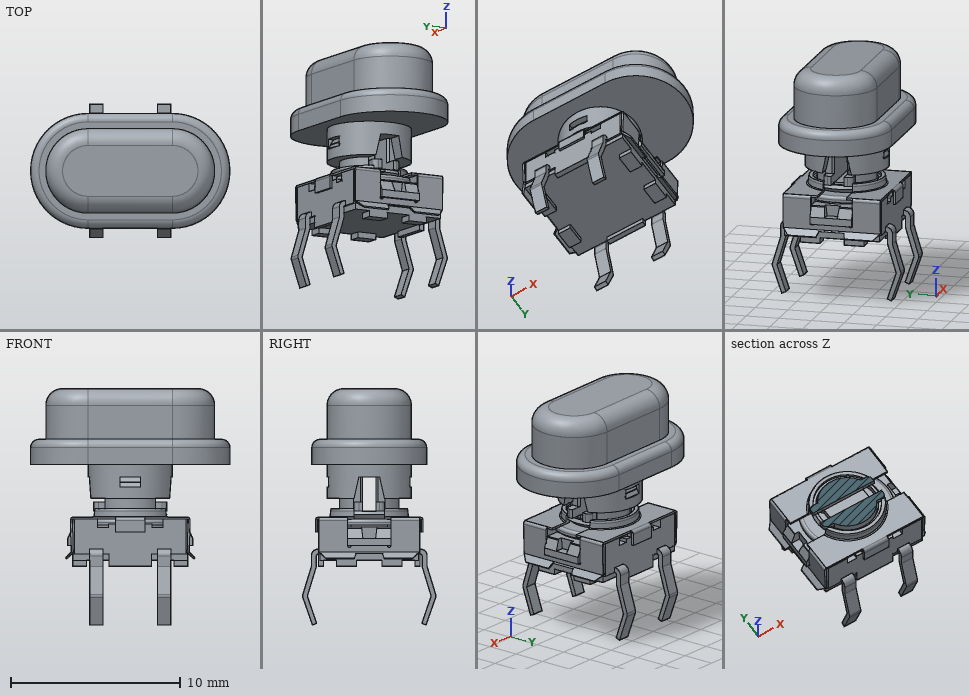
import cadquery as cq

HEIGHT = 14.0
BIG = 28.0

CAP_STRAIGHT = 5.0
CAP_W = 5.0
CAP_ROUND = 1.0
FLANGE_W = 6.8
FLANGE_H = 1.5
FLANGE_ROUND = 0.5
CAP_BOTTOM = 9.5

HUB_D = 5.0
HUB_BOTTOM = 7.5
SLOT_TOP = 8.76
SLOT_TOP_W = 1.23
NOTCH_W = 1.79
WINDOW_W = 1.23
WINDOW_H = 0.59
WINDOW_DEPTH = 0.42
HOOK_LIP = 0.04
HOOK_SILL = 0.08

PLUNGER_D = 3.53
PLUNGER_X = 3.0
PLUNGER_SLOT = 0.78
SLOT_CHAMFER = 0.13
POST_X = 4.33
POST_TOP = 7.3
POST_ROUND = 0.28

COVER_TOP = 6.4
COVER_X = 7.1
COVER_Y = 5.96
SHEET = 0.13
BEND_R = 0.2
WALL_LEAN = 0.05
SKIRT_TOP = 4.34
SKIRT_GAP_TOP = 4.25
SKIRT_BOTTOM = 3.92
SKIRT_OUT = 0.34
SKIRT_CORNER_Y = 0.45
OPENING_W = 2.55
OPENING_BOTTOM = 4.7
RELIEF_R = 0.1
TAB_W = 1.74
TAB_Y = 6.38
TAB_BOTTOM = 5.5

COLLAR_D = 4.65
COLLAR_MID_D = 4.59
COLLAR_TOP_D = 4.51
COLLAR_BORE = 4.05
COLLAR_TOP = 6.9
COLLAR_MID = 6.76
COLLAR_FLARE = 0.08
FLARE_H = 0.04
GUIDE_D = 4.33
GUIDE_TOP_D = 4.06
GUIDE_TOP = 6.75
GUIDE_MID = 6.54
GUIDE_FOOT_D = 3.64
GUIDE_BORE = 3.72
GUIDE_DEPTH = 0.34

BODY_X = 6.82
BODY_Y = 6.0
BODY_TOP = COVER_TOP - SHEET
BODY_CORNER = 0.11
LEDGE_Z = 4.21
LEDGE_DEPTH = 0.1
FLOOR_Z = 3.84
FOOT_Z = 3.49
WALL_W = 2.52
WALL_T = 0.31
FOOT_X = 0.83
FOOT_Y = 1.2
FOOT_MID_Y = 1.35
BUMP_TOP = 5.8
BUMP_EDGE = 5.14
BUMP_X = 7.4
BUMP_TOP_X = 6.75
SHELF_X = 5.04
HOUSING_D = 5.8
HOUSING_ROUND = 0.2
HOUSING_LOW_D = 5.47
HOUSING_LOW_Z = 5.92
CHANNEL_TOP_W = 0.91
CHANNEL_BOTTOM_W = 0.75
CHANNEL_X = 6.25
POCKET_END_X = 1.93
POCKET_STEP_X = 1.29
POCKET_Z = 5.99
POCKET_STEP_Z = 5.78
POCKET_DEPTH = 1.12

LEAD_X = 2.0
LEAD_W = 0.8
LEAD_T = 0.31
LEAD_TOP = 4.51
LEAD_BEND = 0.4
LEAD_OUT = 3.43
LEAD_KNEE = 3.96
KNEE_Z = 1.72
UPRIGHT_END = 3.47
TIP_OUT = 3.36
TIP_RISE = 0.11
KNEE_ROUND = 0.28


def block(x, y, z_low, z_high):
    """Box centred on the Z axis."""
    return cq.Workplane("XY").workplane(offset=z_low).rect(x, y).extrude(z_high - z_low)


def disc(diameter, z_low, z_high):
    return cq.Workplane("XY").workplane(offset=z_low).circle(diameter / 2).extrude(z_high - z_low)


def box_between(x0, x1, y0, y1, z0, z1):
    return cq.Workplane("XY").box(x1 - x0, y1 - y0, z1 - z0, centered=False).translate((x0, y0, z0))


def revolved(points):
    """Turn an outline of (radius, z) points about the Z axis."""
    return cq.Workplane("XZ").polyline(points).close().revolve(360, (0, 0), (0, 1))


def prism_along_x(points, length):
    """Outline of (y, z) points, centred along X."""
    return cq.Workplane("YZ").polyline(points).close().extrude(length / 2, both=True)


def prism_along_y(points, length):
    """Outline of (x, z) points, centred along Y."""
    return cq.Workplane("XZ").polyline(points).close().extrude(length / 2, both=True)


def both_x(shape):
    return shape.union(shape.mirror("YZ"))


def both_y(shape):
    return shape.union(shape.mirror("XZ"))


def oval(width, z_low, z_high, top_round):
    base = cq.Workplane("XY").workplane(offset=z_low).slot2D(CAP_STRAIGHT + width, width)
    return base.extrude(z_high - z_low).faces(">Z").edges().fillet(top_round)


def make_cap():
    flange = oval(FLANGE_W, CAP_BOTTOM, CAP_BOTTOM + FLANGE_H, FLANGE_ROUND)
    return flange.union(oval(CAP_W, CAP_BOTTOM, HEIGHT, CAP_ROUND))


def make_hub():
    hub = disc(HUB_D, HUB_BOTTOM, CAP_BOTTOM)
    slot = prism_along_x(
        [
            (-SLOT_TOP_W / 2, SLOT_TOP),
            (SLOT_TOP_W / 2, SLOT_TOP),
            (NOTCH_W / 2, HUB_BOTTOM),
            (-NOTCH_W / 2, HUB_BOTTOM),
        ],
        BIG,
    )
    rim = HUB_D / 2
    back = rim - WINDOW_DEPTH
    hook = rim - WINDOW_DEPTH / 2
    window = prism_along_x(
        [
            (rim, SLOT_TOP),
            (back, SLOT_TOP),
            (hook, SLOT_TOP - WINDOW_H / 2),
            (hook, SLOT_TOP - WINDOW_H / 2 - HOOK_LIP),
            (rim - HOOK_SILL, SLOT_TOP - WINDOW_H),
            (rim, SLOT_TOP - WINDOW_H),
        ],
        WINDOW_W,
    )
    return hub.cut(slot).cut(both_y(window))


def make_plunger():
    seat = GUIDE_TOP - GUIDE_DEPTH
    core = disc(PLUNGER_D, seat, SLOT_TOP).intersect(block(PLUNGER_X, BIG, seat, SLOT_TOP))
    core = core.cut(block(BIG, PLUNGER_SLOT, GUIDE_TOP, SLOT_TOP))
    mouth = (
        cq.Workplane("XY")
        .workplane(offset=seat)
        .polyline(
            [
                (PLUNGER_X / 2, PLUNGER_SLOT / 2 + SLOT_CHAMFER),
                (PLUNGER_X / 2, -PLUNGER_SLOT / 2 - SLOT_CHAMFER),
                (PLUNGER_X / 2 - SLOT_CHAMFER, -PLUNGER_SLOT / 2),
                (PLUNGER_X / 2 - SLOT_CHAMFER, PLUNGER_SLOT / 2),
            ]
        )
        .close()
        .extrude(SLOT_TOP - seat)
    )
    core = core.cut(both_x(mouth))
    posts = block(POST_X, NOTCH_W, GUIDE_TOP, POST_TOP).edges("|Z").fillet(POST_ROUND)
    posts = posts.cut(block(BIG, PLUNGER_SLOT, GUIDE_TOP, POST_TOP))
    return core.union(posts)


def make_collar():
    rim = COLLAR_D / 2
    bore = COLLAR_BORE / 2
    collar = revolved(
        [
            (bore, BODY_TOP),
            (rim + COLLAR_FLARE, BODY_TOP),
            (rim + COLLAR_FLARE, COVER_TOP),
            (rim, COVER_TOP + FLARE_H),
            (COLLAR_MID_D / 2, COLLAR_MID),
            (COLLAR_TOP_D / 2, COLLAR_TOP),
            (bore, COLLAR_TOP),
        ]
    )
    return collar.cut(block(BIG, NOTCH_W, BODY_TOP, COLLAR_TOP))


def make_guide_ring():
    guide = revolved(
        [
            (0, BUMP_TOP),
            (GUIDE_FOOT_D / 2, BUMP_TOP),
            (GUIDE_FOOT_D / 2, BODY_TOP),
            (GUIDE_D / 2, GUIDE_MID),
            (GUIDE_TOP_D / 2, GUIDE_TOP),
            (0, GUIDE_TOP),
        ]
    )
    return guide.cut(disc(GUIDE_BORE, GUIDE_TOP - GUIDE_DEPTH, GUIDE_TOP))


def make_cover():
    top = block(COVER_X - 2 * SHEET, COVER_Y, BODY_TOP, COVER_TOP)
    top = top.cut(disc(COLLAR_D, BODY_TOP, COVER_TOP))
    outer = COVER_X / 2
    lower = outer - WALL_LEAN
    inner = lower - SHEET
    wall = (
        cq.Workplane("XZ")
        .moveTo(outer - BEND_R, COVER_TOP)
        .radiusArc((outer, COVER_TOP - BEND_R), BEND_R)
        .lineTo(lower, SKIRT_TOP)
        .lineTo(lower + SKIRT_OUT, SKIRT_BOTTOM + SHEET / 2)
        .lineTo(lower + SKIRT_OUT - SHEET / 2, SKIRT_BOTTOM)
        .lineTo(inner, SKIRT_TOP - SHEET / 2)
        .lineTo(outer - SHEET, BODY_TOP)
        .lineTo(outer - BEND_R, BODY_TOP)
        .close()
        .extrude(COVER_Y / 2, both=True)
    )
    for side in (-1, 1):
        corner = prism_along_x(
            [
                (side * COVER_Y / 2, SKIRT_TOP),
                (side * COVER_Y / 2, SKIRT_BOTTOM),
                (side * (COVER_Y / 2 - SKIRT_CORNER_Y), SKIRT_BOTTOM),
            ],
            BIG,
        )
        wall = wall.cut(corner)
    skirt_gap = prism_along_x(
        [
            (-NOTCH_W / 2, SKIRT_BOTTOM),
            (-NOTCH_W / 2 + SHEET, SKIRT_GAP_TOP),
            (NOTCH_W / 2 - SHEET, SKIRT_GAP_TOP),
            (NOTCH_W / 2, SKIRT_BOTTOM),
        ],
        BIG,
    )
    opening = box_between(
        outer - BEND_R, outer, -OPENING_W / 2, OPENING_W / 2, OPENING_BOTTOM, COVER_TOP
    )
    reliefs = (
        cq.Workplane("YZ")
        .pushPoints([(side * (OPENING_W / 2 - RELIEF_R), OPENING_BOTTOM) for side in (-1, 1)])
        .circle(RELIEF_R)
        .extrude(BIG)
    )
    wall = wall.cut(skirt_gap).cut(opening).cut(reliefs)
    top_gap = block(BIG, NOTCH_W, BODY_TOP, COVER_TOP)
    cover = top.union(both_x(wall)).cut(top_gap)

    tab_y = TAB_Y / 2
    tab = (
        cq.Workplane("YZ")
        .moveTo(COLLAR_D / 2, COVER_TOP)
        .lineTo(tab_y - BEND_R, COVER_TOP)
        .radiusArc((tab_y, COVER_TOP - BEND_R), BEND_R)
        .lineTo(tab_y, TAB_BOTTOM)
        .lineTo(tab_y - SHEET, TAB_BOTTOM)
        .lineTo(tab_y - SHEET, BODY_TOP)
        .lineTo(COLLAR_D / 2, BODY_TOP)
        .close()
        .extrude(TAB_W / 2, both=True)
    )
    return cover.union(both_y(tab))


def make_body():
    body = block(BODY_X, BODY_Y, LEDGE_Z, BODY_TOP).edges("|Z").chamfer(BODY_CORNER)
    body = body.union(block(BODY_X, BODY_Y - 2 * LEDGE_DEPTH, FLOOR_Z, LEDGE_Z))

    wall = box_between(
        -WALL_W / 2, WALL_W / 2, BODY_Y / 2 - WALL_T, BODY_Y / 2, FOOT_Z, LEDGE_Z
    )
    pad = box_between(
        BODY_X / 2 - FOOT_X,
        BODY_X / 2,
        FOOT_MID_Y - FOOT_Y / 2,
        FOOT_MID_Y + FOOT_Y / 2,
        FOOT_Z,
        FLOOR_Z,
    )
    body = body.union(both_y(wall)).union(both_x(both_y(pad)))

    housing = disc(HOUSING_D, HOUSING_LOW_Z, BODY_TOP).faces(">Z").edges().fillet(HOUSING_ROUND)
    housing = housing.union(disc(HOUSING_LOW_D, POCKET_STEP_Z, HOUSING_LOW_Z))

    shelf = box_between(
        SHELF_X / 2, BODY_X / 2, -OPENING_W / 2, OPENING_W / 2, BUMP_TOP, BODY_TOP
    )
    bump = prism_along_y(
        [
            (SHELF_X / 2, BUMP_TOP),
            (BUMP_TOP_X / 2, BUMP_TOP),
            (BUMP_X / 2, BUMP_EDGE),
            (BUMP_X / 2, OPENING_BOTTOM),
            (SHELF_X / 2, OPENING_BOTTOM),
        ],
        OPENING_W,
    )
    channel = prism_along_x(
        [
            (-CHANNEL_TOP_W / 2, BUMP_TOP),
            (CHANNEL_TOP_W / 2, BUMP_TOP),
            (CHANNEL_BOTTOM_W / 2, BUMP_EDGE),
            (-CHANNEL_BOTTOM_W / 2, BUMP_EDGE),
        ],
        BIG,
    ).cut(block(CHANNEL_X, BIG, BUMP_EDGE, BUMP_TOP))
    body = body.cut(both_x(shelf).cut(housing)).union(both_x(bump)).cut(channel)

    for x_start, z_low in ((TAB_W / 2, POCKET_Z), (POCKET_STEP_X, POCKET_STEP_Z)):
        pocket = box_between(
            x_start, POCKET_END_X, BODY_Y / 2 - POCKET_DEPTH, BODY_Y / 2, z_low, BODY_TOP
        )
        body = body.cut(both_x(both_y(pocket)).cut(housing))
    return body


def make_lead():
    """One lead on the +Y side: out of the body, down, out to a knee and back in."""
    root = BODY_Y / 2 - WALL_T
    inside = LEAD_OUT - LEAD_T
    lead = (
        cq.Workplane("YZ")
        .moveTo(root, LEAD_TOP)
        .lineTo(LEAD_OUT - LEAD_BEND, LEAD_TOP)
        .radiusArc((LEAD_OUT, LEAD_TOP - LEAD_BEND), LEAD_BEND)
        .lineTo(LEAD_OUT, UPRIGHT_END)
        .lineTo(LEAD_KNEE, KNEE_Z)
        .lineTo(TIP_OUT, 0)
        .lineTo(TIP_OUT - LEAD_T + TIP_RISE / 2, TIP_RISE)
        .lineTo(LEAD_KNEE - LEAD_T, KNEE_Z)
        .lineTo(inside, UPRIGHT_END)
        .lineTo(inside, LEAD_TOP - LEAD_BEND)
        .radiusArc((LEAD_OUT - LEAD_BEND, LEAD_TOP - LEAD_T), LEAD_T - LEAD_BEND)
        .lineTo(root, LEAD_TOP - LEAD_T)
        .close()
        .extrude(LEAD_W / 2, both=True)
    )
    lead = lead.edges("|X and >Y").fillet(KNEE_ROUND)
    return lead.translate((LEAD_X, 0, 0))


result = (
    make_body()
    .union(make_guide_ring())
    .union(make_cover())
    .union(make_collar())
    .union(make_plunger())
    .union(make_hub())
    .union(make_cap())
    .union(both_x(both_y(make_lead())))
)